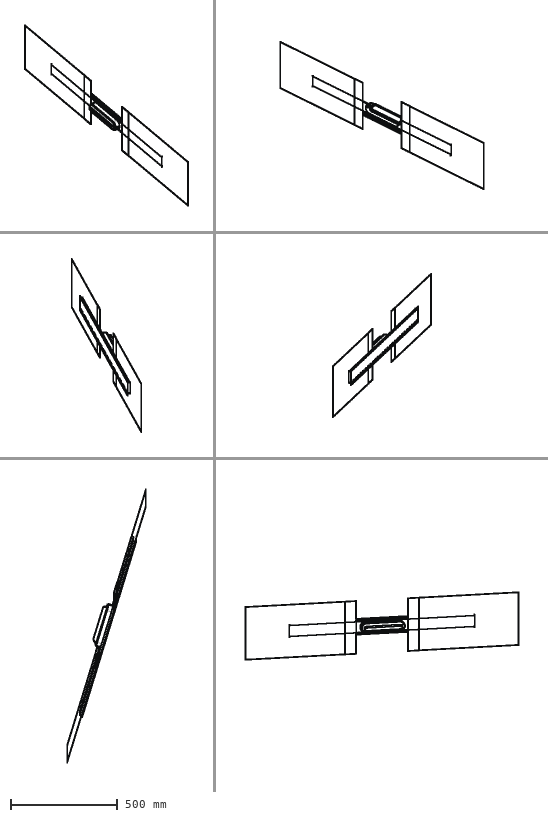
import cadquery as cq

overall_length = 1314.0
overall_depth = 54.0

sheet_height = 254.0
sheet_thickness = 0.5
sheet_gap = 250.0
sheet_length = (overall_length - sheet_gap) / 2

strip_width = 55.0
strip_thickness = 1.0
strip_bevel_width = 3.0

bar_length = 894.0
bar_height = 53.0
bar_depth = 12.0
shoulder_height = 60.0
shoulder_depth = 3.0
cap_thickness = 3.0
rim_length = 901.0
rim_height = 76.0
rim_thickness = 1.0

cup_length = 210.0
cup_height = 47.0
cup_depth = 21.0
end_plate_inset = 3.0
end_plate_thickness = 4.0
spout_root_length = 184.0
spout_tip_length = 176.0
spout_tip_radius = 15.0
spout_root_bottom = -13.0
spout_root_top = 3.0
spout_tip_bottom = 4.0
spout_tip_top = 12.0
rib_projection = 1.0
rib_width = 8.0
rib_center_z = -1.0
rib_back_gap = 7.0

sides = (-1, 1)
bar_back = sheet_thickness + bar_depth
channel_back = bar_back + rim_thickness
spout_tip_y = channel_back - overall_depth


def block(length, depth, height, center_x, front_y):
    """Box centred on z = 0 that runs toward +Y from front_y."""
    return cq.Workplane("XY").box(length, depth, height).translate((center_x, front_y + depth / 2, 0))


def make_sheet(side):
    center_x = side * (sheet_gap + sheet_length) / 2
    return block(sheet_length, sheet_thickness, sheet_height, center_x, 0)


def make_strip(side):
    """Flat strip whose outer edge slopes down to the sheet."""
    inner_x = side * sheet_gap / 2
    outer_x = inner_x + side * strip_width
    bevel_x = outer_x - side * strip_bevel_width
    return (
        cq.Workplane("XY")
        .polyline([(inner_x, 0), (outer_x, 0), (bevel_x, -strip_thickness), (inner_x, -strip_thickness)])
        .close()
        .extrude(sheet_height / 2, both=True)
    )


def make_channel():
    channel = block(bar_length, bar_depth, bar_height, 0, sheet_thickness)
    shoulder = block(bar_length, shoulder_depth, shoulder_height, 0, bar_back - shoulder_depth)
    rim = block(rim_length, rim_thickness, rim_height, 0, bar_back)
    channel = channel.union(shoulder).union(rim)
    for side in sides:
        cap_x = side * (bar_length - cap_thickness) / 2
        channel = channel.union(block(cap_thickness, bar_depth, shoulder_height, cap_x, sheet_thickness))
    return channel


def stadium(length, height, back_y, depth):
    """Round-ended plate that runs toward -Y from back_y."""
    return cq.Workplane("XZ", origin=(0, back_y, 0)).slot2D(length, height).extrude(depth)


def make_spout(root_y):
    """Flattened spout that rises and narrows toward its rounded tip."""
    profile = (
        cq.Workplane("YZ")
        .polyline([
            (root_y, spout_root_bottom),
            (root_y, spout_root_top),
            (spout_tip_y, spout_tip_top),
            (spout_tip_y, spout_tip_bottom),
        ])
        .close()
        .extrude(spout_root_length / 2, both=True)
    )
    outline = (
        cq.Workplane("XY")
        .polyline([
            (-spout_root_length / 2, root_y),
            (spout_root_length / 2, root_y),
            (spout_tip_length / 2, spout_tip_y),
            (-spout_tip_length / 2, spout_tip_y),
        ])
        .close()
        .extrude(cup_height / 2, both=True)
        .edges("<Y and |Z")
        .fillet(spout_tip_radius)
    )
    return profile.intersect(outline)


def make_drain():
    cup = stadium(cup_length, cup_height, sheet_thickness, cup_depth)
    plate_back = sheet_thickness - cup_depth
    end_plate = stadium(
        cup_length - 2 * end_plate_inset, cup_height - 2 * end_plate_inset, plate_back, end_plate_thickness
    )
    rib_length = cup_length + 2 * rib_projection
    rib_depth = cup_depth - rib_back_gap
    ribs = block(rib_length, rib_depth, rib_width, 0, plate_back).translate((0, 0, rib_center_z))
    spout = make_spout(plate_back - end_plate_thickness)
    return cup.union(end_plate).union(ribs).union(spout)


sheets = [make_sheet(side).val() for side in sides]
strips = [make_strip(side).val() for side in sides]
channel = make_channel()
drain = make_drain()

result = cq.Compound.makeCompound([*sheets, *strips, channel.val(), drain.val()])